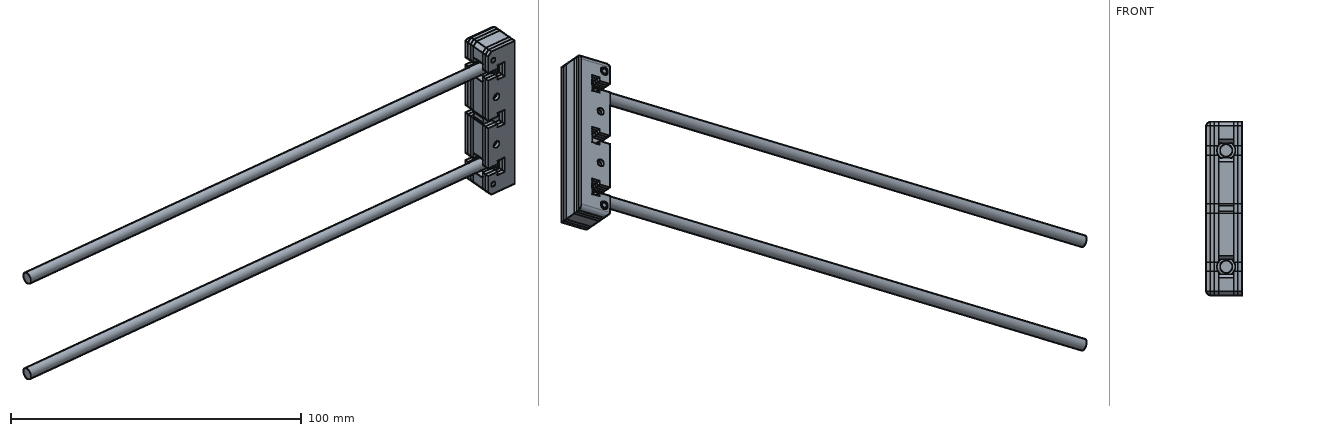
import cadquery as cq

block_depth = 11.9
block_height = 60.0
plate_thickness = 1.5
core_thickness = 5.0
near_plate_count = 3
far_plate_count = 2
front_chamfer = 1.5
cover_rounding = 2.0

overall_length = 212.0
rod_diameter = 4.2
head_diameter = 6.4
head_length = 2.5
head_setback = 4.2
rod_spacing = 40.0

neck_height = 3.2
head_slot_height = 6.0
head_slot_length = 3.2

core_neck_height = 5.0
mouth_chamfer = 1.3
groove_depth = 0.2
groove_flare = 0.6

hole_diameter = 2.5
hole_spacing = 20.0
hole_setback = 3.8
pin_diameter = 2.0
pin_clearance_diameter = 3.0
pin_spacing = 52.0
pin_setback = 2.3

block_width = (near_plate_count + far_plate_count) * plate_thickness + core_thickness
front_y = overall_length / 2 - block_depth
rod_end_y = -overall_length / 2
head_y = front_y + head_setback
cover_x = -block_width / 2
core_x = cover_x + near_plate_count * plate_thickness
far_x = core_x + core_thickness
rod_x = core_x + core_thickness / 2
inner_plate_places = [cover_x + i * plate_thickness for i in range(1, near_plate_count)]
inner_plate_places += [far_x + i * plate_thickness for i in range(far_plate_count)]
rod_heights = [-rod_spacing / 2, rod_spacing / 2]
slot_heights = [-rod_spacing / 2, 0, rod_spacing / 2]
hole_heights = [-hole_spacing / 2, hole_spacing / 2]
pin_heights = [-pin_spacing / 2, pin_spacing / 2]


def box(x, y, z_center, x_size, y_size, z_size):
    """Box that starts at x and y and is centred on a height."""
    base = cq.Workplane("XY", origin=(x, y, z_center))
    return base.box(x_size, y_size, z_size, centered=(False, False, True))


def cross_cylinders(x, length, diameter, setback, heights):
    """Cylinders along X, at a setback from the front face."""
    return (
        cq.Workplane("YZ", origin=(x, front_y + setback, 0))
        .pushPoints([(0, z) for z in heights])
        .circle(diameter / 2)
        .extrude(length)
    )


def blank(x, thickness, pin_hole_diameter):
    """One layer of the block: chamfered front edges, cross holes and pin holes."""
    body = box(x, front_y, 0, thickness, block_depth, block_height)
    body = body.faces("<Y").edges("|X").chamfer(front_chamfer)
    body = body.cut(cross_cylinders(x, thickness, hole_diameter, hole_setback, hole_heights))
    return body.cut(cross_cylinders(x, thickness, pin_hole_diameter, pin_setback, pin_heights))


def t_slot(x, thickness, z, neck_size, head_size, head_space):
    """T-shaped cut: a neck open at the front and a taller space for the rod head."""
    neck = box(x, front_y, z, thickness, head_setback, neck_size)
    head = box(x, head_y, z, thickness, head_space, head_size)
    return neck.union(head)


def side_plate(x, pin_hole_diameter):
    body = blank(x, plate_thickness, pin_hole_diameter)
    for z in slot_heights:
        body = body.cut(t_slot(x, plate_thickness, z, neck_height, head_slot_height, head_slot_length))
    return body


def cover_plate():
    """Outermost side plate, rounded at the top and bottom with a radius larger than its thickness."""
    body = side_plate(cover_x, pin_clearance_diameter)
    rounded_block = (
        box(cover_x, front_y, 0, block_width, block_depth, block_height)
        .faces("<X")
        .edges("|Y")
        .fillet(cover_rounding)
    )
    return body.intersect(rounded_block)


def flared_cut(z, inner_height, depth, flare):
    """Cut across the core that widens by the flare on each side at the front face."""
    inner = inner_height / 2
    outer = inner + flare
    return (
        cq.Workplane("YZ", origin=(core_x, front_y, z))
        .polyline([(0, -outer), (depth, -inner), (depth, inner), (0, outer)])
        .close()
        .extrude(core_thickness)
    )


def core():
    """Middle layer: flared rod openings with snug head pockets, and a shallow groove at mid-height."""
    body = blank(core_x, core_thickness, pin_diameter)
    for z in rod_heights:
        body = body.cut(t_slot(core_x, core_thickness, z, core_neck_height, head_diameter, head_length))
        body = body.cut(flared_cut(z, core_neck_height, mouth_chamfer, mouth_chamfer))
    groove_floor_height = neck_height - 2 * groove_flare
    return body.cut(flared_cut(0, groove_floor_height, groove_depth, groove_flare))


def rod(z):
    """Round rod along Y with a larger flat head inside the block."""
    base = cq.Workplane("XZ", origin=(rod_x, head_y, z))
    shaft = base.circle(rod_diameter / 2).extrude(head_y - rod_end_y)
    head = base.circle(head_diameter / 2).extrude(-head_length)
    return shaft.union(head)


cover = cover_plate()
inner_plates = [side_plate(x, pin_diameter) for x in inner_plate_places]
middle = core()
rods = [rod(z) for z in rod_heights]
pins = cross_cylinders(cover_x, block_width, pin_diameter, pin_setback, pin_heights)

result = cq.Compound.makeCompound([
    cover.val(),
    *[plate.val() for plate in inner_plates],
    middle.val(),
    *[item.val() for item in rods],
    *pins.vals(),
])